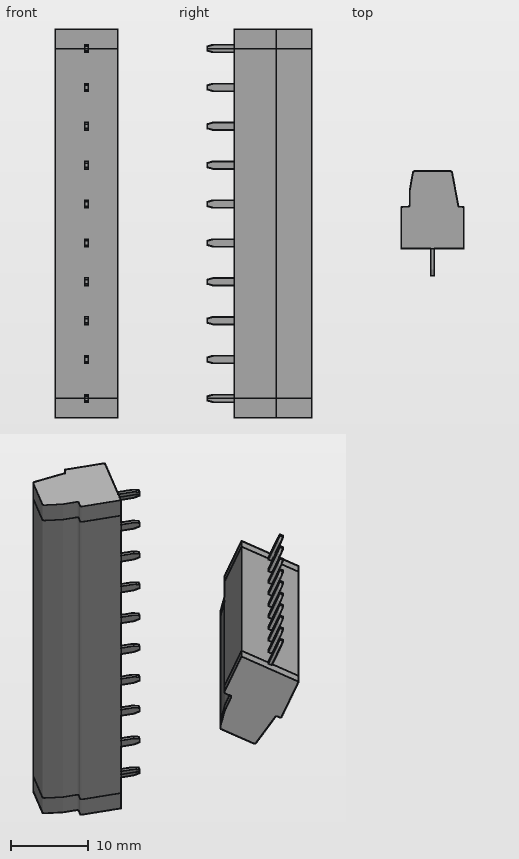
import cadquery as cq

LENGTH = 50.0
WIDTH = 8.1
DEPTH = 10.0
PIN_COUNT = 10
PITCH = LENGTH / PIN_COUNT
FIRST_PIN_Z = PITCH / 2
LAST_PIN_Z = LENGTH - PITCH / 2

STEP_Y = 5.4
STEP_FILLET = 0.2
WALL_X = -2.95
WALL_TOP_Y = 7.45
CREST_LEFT_X = -2.5
CREST_RIGHT_X = 2.5
SLOPE_FOOT_X = 3.35
CREST_FILLET = 0.3

PIN_LENGTH = 3.5
PIN_THICKNESS = 0.5
PIN_HEIGHT = 1.0
PIN_TIP_LENGTH = 0.8
PIN_TIP_HEIGHT = 0.55


def housing_segment(z_bottom, z_top):
    """Stretch of the stepped housing profile between two levels."""
    half_width = WIDTH / 2
    outline = [
        (-half_width, 0),
        (half_width, 0),
        (half_width, STEP_Y),
        (SLOPE_FOOT_X, STEP_Y),
        (CREST_RIGHT_X, DEPTH),
        (CREST_LEFT_X, DEPTH),
        (WALL_X, WALL_TOP_Y),
        (WALL_X, STEP_Y),
        (-half_width, STEP_Y),
    ]
    segment = (
        cq.Workplane("XY", origin=(0, 0, z_bottom))
        .polyline(outline)
        .close()
        .extrude(z_top - z_bottom)
    )
    segment = segment.faces(">Y").edges("|Z").fillet(CREST_FILLET)
    z_middle = (z_bottom + z_top) / 2
    for step_x in (-half_width, WALL_X, SLOPE_FOOT_X, half_width):
        step_edge = cq.selectors.NearestToPointSelector((step_x, STEP_Y, z_middle))
        segment = segment.edges("|Z").edges(step_edge).fillet(STEP_FILLET)
    return segment


def pin(z_center):
    """Flat pin with a tapered tip, standing out of the front face."""
    half_height = PIN_HEIGHT / 2
    half_tip = PIN_TIP_HEIGHT / 2
    taper_y = PIN_TIP_LENGTH - PIN_LENGTH
    outline = [
        (0, -half_height),
        (taper_y, -half_height),
        (-PIN_LENGTH, -half_tip),
        (-PIN_LENGTH, half_tip),
        (taper_y, half_height),
        (0, half_height),
    ]
    return (
        cq.Workplane("YZ", origin=(0, 0, z_center))
        .polyline(outline)
        .close()
        .extrude(PIN_THICKNESS / 2, both=True)
    )


def pin_half(z_center, side):
    """Half of a pin cut at its middle level: side 1 is the upper half, -1 the lower half."""
    half_height = PIN_HEIGHT / 2
    keep = cq.Workplane("XY").box(PIN_THICKNESS, PIN_LENGTH, half_height)
    keep = keep.translate((0, -PIN_LENGTH / 2, z_center + side * half_height / 2))
    return pin(z_center).intersect(keep)


def middle_section():
    """Long housing with the whole pins, and the inner half of the pin at each seam."""
    section = housing_segment(FIRST_PIN_Z, LAST_PIN_Z)
    for index in range(1, PIN_COUNT - 1):
        section = section.union(pin(FIRST_PIN_Z + index * PITCH))
    section = section.union(pin_half(FIRST_PIN_Z, 1))
    return section.union(pin_half(LAST_PIN_Z, -1))


def end_section(z_bottom, z_top, seam_z, side):
    """Short end housing with the outer half of the pin at its seam."""
    return housing_segment(z_bottom, z_top).union(pin_half(seam_z, side))


middle = middle_section()
lower_end = end_section(0, FIRST_PIN_Z, FIRST_PIN_Z, -1)
upper_end = end_section(LAST_PIN_Z, LENGTH, LAST_PIN_Z, 1)

result = cq.Compound.makeCompound([
    middle.solids().val(),
    lower_end.solids().val(),
    upper_end.solids().val(),
])